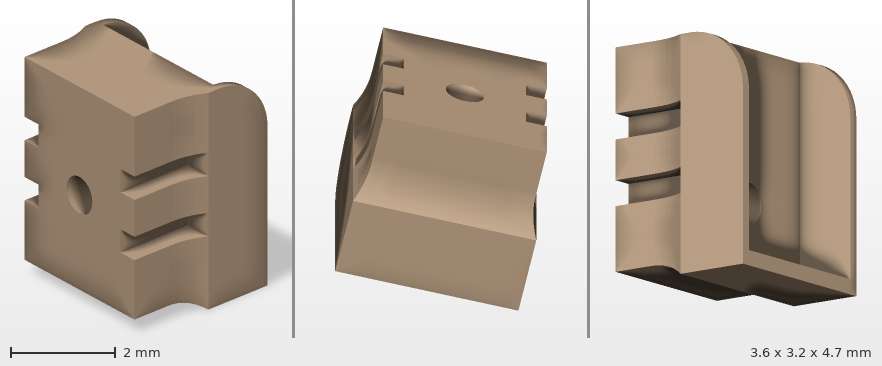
import cadquery as cq
import math

WIDTH = 3.6
DEPTH = 3.2
HEIGHT = 4.7

SIDE_FLANGE = 0.195
BOTTOM_FLANGE = 0.3
SIDE_FLARE_START = 0.96
BOTTOM_FLARE_START = 0.845
FLARE_END = 1.7
BLOCK_DEPTH = 1.995
EAR_RADIUS = 1.24

SLOT_HEIGHT = 0.508
SLOT_DEPTH = 0.6
SLOT_CENTERS = (1.842, 3.15)

HOLE_DIAMETER = 0.75
HOLE_CENTER_Z = 2.35
HOLE_SLOPE = 19.0

HALF_WIDTH = WIDTH / 2
BLOCK_HALF_WIDTH = HALF_WIDTH - SIDE_FLANGE


def flare_midpoint(start, rise):
    """Y position and rise at the middle of an arc tangent to the Y axis."""
    run = FLARE_END - start
    radius = (run**2 + rise**2) / (2 * rise)
    half_angle = math.asin(run / radius) / 2
    return start + radius * math.sin(half_angle), radius * (1 - math.cos(half_angle))


def plan_prism():
    """Full-height body with both sides flaring outward."""
    mid_y, mid_rise = flare_midpoint(SIDE_FLARE_START, SIDE_FLANGE)
    mid_x = BLOCK_HALF_WIDTH + mid_rise
    return (
        cq.Workplane("XY")
        .moveTo(-BLOCK_HALF_WIDTH, 0)
        .lineTo(BLOCK_HALF_WIDTH, 0)
        .lineTo(BLOCK_HALF_WIDTH, SIDE_FLARE_START)
        .threePointArc((mid_x, mid_y), (HALF_WIDTH, FLARE_END))
        .lineTo(HALF_WIDTH, DEPTH)
        .lineTo(-HALF_WIDTH, DEPTH)
        .lineTo(-HALF_WIDTH, FLARE_END)
        .threePointArc((-mid_x, mid_y), (-BLOCK_HALF_WIDTH, SIDE_FLARE_START))
        .close()
        .extrude(HEIGHT)
    )


def profile_prism():
    """Full-width body with the bottom flare and the rounded top back edge."""
    mid_y, mid_rise = flare_midpoint(BOTTOM_FLARE_START, BOTTOM_FLANGE)
    arc_offset = EAR_RADIUS * math.sqrt(0.5)
    arc_y = DEPTH - EAR_RADIUS
    arc_z = HEIGHT - EAR_RADIUS
    return (
        cq.Workplane("YZ")
        .moveTo(0, BOTTOM_FLANGE)
        .lineTo(BOTTOM_FLARE_START, BOTTOM_FLANGE)
        .threePointArc((mid_y, BOTTOM_FLANGE - mid_rise), (FLARE_END, 0))
        .lineTo(DEPTH, 0)
        .lineTo(DEPTH, arc_z)
        .threePointArc((arc_y + arc_offset, arc_z + arc_offset), (arc_y, HEIGHT))
        .lineTo(0, HEIGHT)
        .close()
        .extrude(HALF_WIDTH, both=True)
    )


def back_pocket():
    """Space behind the block, between the side flanges and above the bottom flange."""
    return cq.Workplane("XY").box(
        2 * BLOCK_HALF_WIDTH, DEPTH - BLOCK_DEPTH, HEIGHT - BOTTOM_FLANGE,
        centered=(True, False, False),
    ).translate((0, BLOCK_DEPTH, BOTTOM_FLANGE))


def side_slots():
    """Slots open to the front and to each side, ending where the flares end."""
    slot_x = HALF_WIDTH - SLOT_DEPTH / 2
    centers = [(side * slot_x, z) for side in (-1, 1) for z in SLOT_CENTERS]
    return (
        cq.Workplane("XZ")
        .pushPoints(centers)
        .rect(SLOT_DEPTH, SLOT_HEIGHT)
        .extrude(-FLARE_END)
    )


def sloped_hole():
    """Cylinder along the hole axis, passing through both faces of the block."""
    slope = math.radians(HOLE_SLOPE)
    axis = cq.Vector(0, math.cos(slope), -math.sin(slope))
    front_center = cq.Vector(0, 0, HOLE_CENTER_Z)
    start = front_center - axis * HOLE_DIAMETER
    length = BLOCK_DEPTH / math.cos(slope) + 2 * HOLE_DIAMETER
    return cq.Workplane(cq.Solid.makeCylinder(HOLE_DIAMETER / 2, length, start, axis))


result = plan_prism().intersect(profile_prism())
result = result.cut(back_pocket()).cut(side_slots()).cut(sloped_hole())